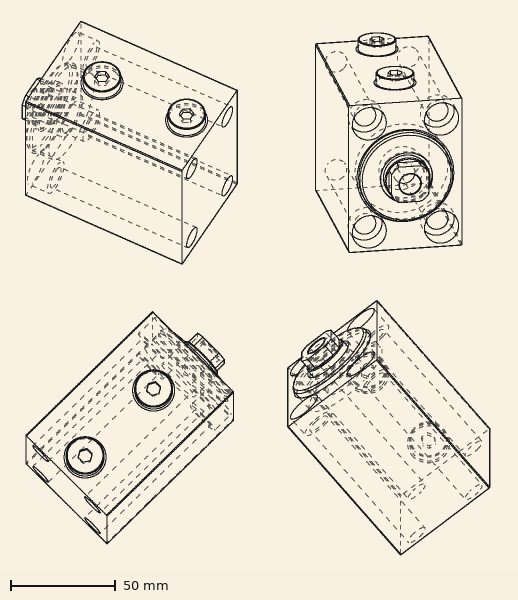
import cadquery as cq
import math


total_length = 97.0
rod_reach = 12.0
housing_length = total_length - rod_reach
housing_width = 55.0
plug_rise = 5.0
total_height = 79.9
housing_height = total_height - plug_rise
edge_chamfer = 0.5
top_z = housing_height / 2

bolt_spacing_y = 35.0
bolt_spacing_z = 55.0
bolt_diameter = 10.5
counterbore_diameter = 16.5
counterbore_depth = 11.0

cap_diameter = 45.0
cap_reach = 3.0
cap_chamfer = 1.0
cap_seat_depth = 10.0
seat_chamfer = 1.0
wiper_recess_diameter = 25.2
wiper_recess_depth = 1.5

rod_diameter = 21.9
rod_chamfer = 0.5
wrench_diameter = 21.05
wrench_flats = 18.0
wrench_length = 6.0
rod_hole_diameter = 10.3
rod_hole_depth = 15.0
rod_hole_chamfer = 0.3
drill_point_angle = 118.0

plug_diameter = 18.0
plug_chamfer = 0.3
front_plug_x = 26.5
plug_spacing = 46.0
socket_sides = 6
socket_flats = 6.0
socket_depth = 3.0
socket_chamfer = 0.24
spot_face_diameter = 20.0
spot_face_depth = 0.1
plug_positions = [front_plug_x, front_plug_x + plug_spacing]


def x_cylinder(diameter, x_start, x_end):
    """Cylinder on the rod axis between two X positions."""
    return cq.Workplane("YZ", origin=(x_start, 0, 0)).circle(diameter / 2).extrude(x_end - x_start)


def make_housing():
    block = cq.Workplane("XY").box(housing_length, housing_width, housing_height)
    block = block.translate((housing_length / 2, 0, 0)).edges("|X").chamfer(edge_chamfer)

    block = (
        block.faces("<X").workplane(origin=(0, 0, 0))
        .rect(bolt_spacing_y, bolt_spacing_z, forConstruction=True).vertices()
        .cboreHole(bolt_diameter, counterbore_diameter, counterbore_depth)
    )

    seat = x_cylinder(cap_diameter, 0, cap_seat_depth)
    seat_radius = cap_diameter / 2
    mouth = cq.Solid.makeCone(
        seat_radius + seat_chamfer, seat_radius, seat_chamfer,
        pnt=cq.Vector(0, 0, 0), dir=cq.Vector(1, 0, 0),
    )
    block = block.cut(seat).cut(mouth)

    spot_faces = (
        cq.Workplane("XY", origin=(0, 0, top_z - spot_face_depth))
        .pushPoints([(x, 0) for x in plug_positions])
        .circle(spot_face_diameter / 2).extrude(spot_face_depth)
    )
    return block.cut(spot_faces)


def make_guide_cap():
    cap = x_cylinder(cap_diameter, -cap_reach, cap_seat_depth).faces("<X").chamfer(cap_chamfer)
    wiper_recess = x_cylinder(wiper_recess_diameter, -cap_reach, wiper_recess_depth - cap_reach)
    rod_bore = x_cylinder(rod_diameter, -cap_reach, cap_seat_depth)
    return cap.cut(wiper_recess).cut(rod_bore)


def make_piston_rod():
    shoulder_x = wrench_length - rod_reach
    shank = x_cylinder(rod_diameter, shoulder_x, cap_seat_depth).faces("<X").chamfer(rod_chamfer)
    tip = x_cylinder(wrench_diameter, -rod_reach, shoulder_x)
    square = cq.Workplane("XY").box(2 * rod_reach, wrench_flats, wrench_flats)
    return shank.union(tip.intersect(square)).cut(make_rod_hole())


def make_rod_hole():
    """Blind drilled hole with a countersunk mouth, revolved about the rod axis."""
    radius = rod_hole_diameter / 2
    hole_end = rod_hole_depth - rod_reach
    point_length = radius / math.tan(math.radians(drill_point_angle / 2))
    return (
        cq.Workplane("XY")
        .moveTo(-rod_reach, 0)
        .lineTo(-rod_reach, radius + rod_hole_chamfer)
        .lineTo(rod_hole_chamfer - rod_reach, radius)
        .lineTo(hole_end, radius)
        .lineTo(hole_end + point_length, 0)
        .close()
        .revolve(360, (0, 0, 0), (1, 0, 0))
    )


def make_plug(x):
    base_z = top_z - spot_face_depth
    plug = cq.Workplane("XY", origin=(x, 0, base_z)).circle(plug_diameter / 2)
    plug = plug.extrude(plug_rise + spot_face_depth).faces(">Z").chamfer(plug_chamfer)

    across_corners = socket_flats / math.cos(math.pi / socket_sides)
    socket = (
        cq.Workplane("XY", origin=(x, 0, top_z + plug_rise - socket_depth))
        .transformed(rotate=(0, 0, 90)).polygon(socket_sides, across_corners).extrude(socket_depth)
    )
    plug = plug.cut(socket)
    return plug.faces(">Z").wires(cq.selectors.RadiusNthSelector(0)).chamfer(socket_chamfer)


housing = make_housing()
guide_cap = make_guide_cap()
piston_rod = make_piston_rod()
plugs = [make_plug(x) for x in plug_positions]

result = cq.Compound.makeCompound(
    [housing.val(), guide_cap.val(), piston_rod.val(), *[plug.val() for plug in plugs]]
)